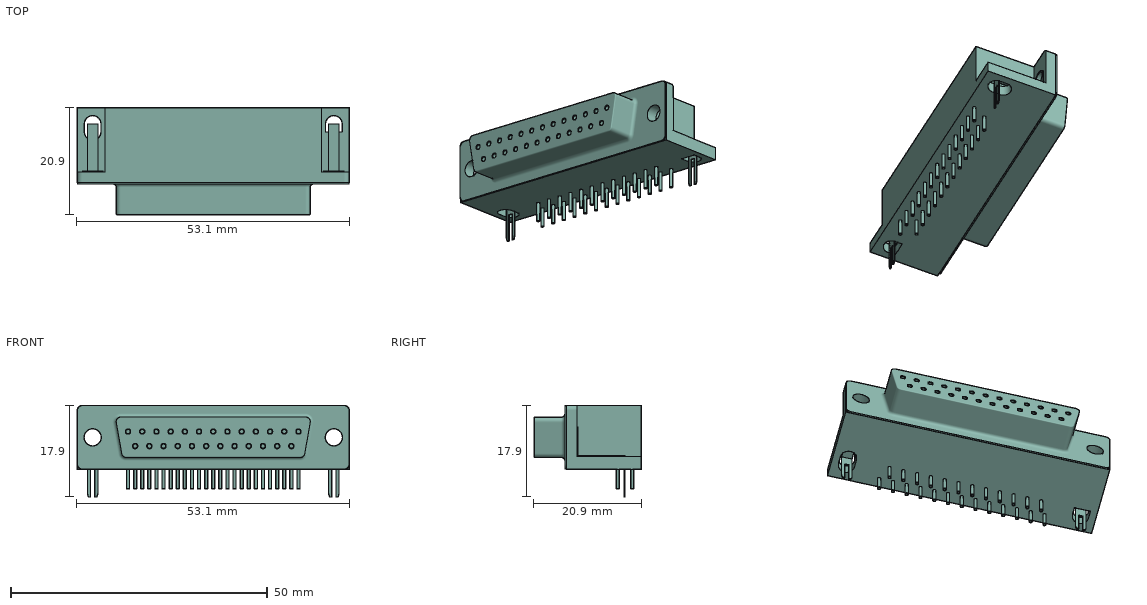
import cadquery as cq
import math


LENGTH = 53.1
HEIGHT = 12.5
TOTAL_HEIGHT = 17.9
TOTAL_DEPTH = 20.94
SHELL_PROJECTION = 6.0
PLATE_THICKNESS = 0.3
WALL_THICKNESS = 2.1
BODY_LENGTH = 42.2
BASE_HEIGHT = 2.55
CORNER_RADIUS = 1.0

BACK_Y = TOTAL_DEPTH - SHELL_PROJECTION
WALL_BACK_Y = PLATE_THICKNESS + WALL_THICKNESS

PLATE_INSET = 0.05
MOUNT_SPACING = 47.04
MOUNT_DIAMETER = 3.3
MOUNT_Z = HEIGHT / 2

SHELL_WIDTH = 38.2
SHELL_HEIGHT = 7.9
SHELL_CENTRE_Z = MOUNT_Z
SHELL_SIDE_ANGLE = 10
SHELL_CORNER_RADIUS = 0.9
SHELL_FOOT_RADIUS = 0.65
SHELL_RIM_RADIUS = 0.2

TOP_ROW_COUNT = 13
BOTTOM_ROW_COUNT = 12
CONTACT_PITCH = 2.77
ROW_SPACING = 2.84
TOP_ROW_Z = 7.38
SOCKET_DIAMETER = 0.85
SOCKET_DEPTH = 5.0
SOCKET_CHAMFER = 0.1
PIN_DIAMETER = 0.64
PIN_LENGTH = 3.85
PIN_TIP_CHAMFER = 0.1
PIN_ROOT = 1.0
BACK_ROW_INSET = 1.78

SLOT_WIDTH = 3.2
SLOT_ARC_INSET = 3.2
SLOT_STRAIGHT = 1.55

BRACKET_THICKNESS = 0.2
BRACKET_PLATE_WIDTH = 4.0
STRAP_WIDTH = 2.1
STRAP_END_INSET = 3.2
PRONG_GAP = 0.8
PRONG_LENGTH = TOTAL_HEIGHT - HEIGHT
PRONG_TAPER = 0.2
PRONG_TAPER_HEIGHT = 0.7


def block(x_min, x_max, y_min, y_max, z_min, z_max):
    """Axis-aligned box between two corners."""
    size = (x_max - x_min, y_max - y_min, z_max - z_min)
    return cq.Workplane("XY").box(*size, centered=False).translate((x_min, y_min, z_min))


def facing_front(y):
    """Work plane at depth y whose extrusions grow toward -Y."""
    return cq.Workplane("XZ", origin=(0, y, 0))


def make_housing():
    """Body with two low wings behind a full-length front wall."""
    half = LENGTH / 2
    wall = block(-half, half, PLATE_THICKNESS, WALL_BACK_Y, 0, HEIGHT)
    wall = wall.edges("|Y and >Z").fillet(CORNER_RADIUS)
    base = block(-half, half, PLATE_THICKNESS, BACK_Y, 0, BASE_HEIGHT)
    body = block(-BODY_LENGTH / 2, BODY_LENGTH / 2, PLATE_THICKNESS, BACK_Y, 0, HEIGHT)
    return wall.union(base).union(body)


def make_plate_with_shell():
    """Front plate and the D-shaped shell, blended at the foot and rounded at the rim."""
    half = LENGTH / 2 - PLATE_INSET
    plate = block(-half, half, 0, PLATE_THICKNESS, PLATE_INSET, HEIGHT - PLATE_INSET)
    plate = plate.edges("|Y").fillet(CORNER_RADIUS)

    half_top = SHELL_WIDTH / 2
    half_bottom = half_top - SHELL_HEIGHT * math.tan(math.radians(SHELL_SIDE_ANGLE))
    top = SHELL_CENTRE_Z + SHELL_HEIGHT / 2
    bottom = SHELL_CENTRE_Z - SHELL_HEIGHT / 2
    corners = [(-half_top, top), (half_top, top), (half_bottom, bottom), (-half_bottom, bottom)]
    shell = facing_front(0).polyline(corners).close().extrude(SHELL_PROJECTION)
    shell = shell.edges("not(#Y)").fillet(SHELL_CORNER_RADIUS)
    shell = shell.faces("<Y").edges().fillet(SHELL_RIM_RADIUS)

    joined = plate.union(shell)
    near_foot = (2 * SHELL_FOOT_RADIUS, PLATE_THICKNESS / 2, 2 * SHELL_FOOT_RADIUS)
    box_start = cq.Vector(-half_top, 0, bottom) - cq.Vector(*near_foot)
    box_end = cq.Vector(half_top, 0, top) + cq.Vector(*near_foot)
    foot = cq.selectors.BoxSelector(box_start.toTuple(), box_end.toTuple(), boundingbox=True)
    return joined.edges(foot).fillet(SHELL_FOOT_RADIUS)


def row_positions(count):
    """X positions of a contact row centred on the connector."""
    return [(i - (count - 1) / 2) * CONTACT_PITCH for i in range(count)]


def make_sockets():
    """Cutter for the blind contact sockets, with chamfered mouths."""
    rows = [(TOP_ROW_COUNT, TOP_ROW_Z), (BOTTOM_ROW_COUNT, TOP_ROW_Z - ROW_SPACING)]
    points = [(x, z) for count, z in rows for x in row_positions(count)]
    radius = SOCKET_DIAMETER / 2
    bores = facing_front(-SHELL_PROJECTION).pushPoints(points).circle(radius).extrude(-SOCKET_DEPTH)
    mouth = cq.Solid.makeCone(
        radius + SOCKET_CHAMFER, radius, SOCKET_CHAMFER, cq.Vector(0, 0, 0), cq.Vector(0, 1, 0)
    )
    mouths = [mouth.translate(cq.Vector(x, -SHELL_PROJECTION, z)) for x, z in points]
    return bores.union(cq.Workplane("XY").newObject(mouths).combine())


def make_pins():
    """Solder pins below the housing in two staggered rows."""
    back_row_y = BACK_Y - BACK_ROW_INSET
    rows = [(TOP_ROW_COUNT, back_row_y), (BOTTOM_ROW_COUNT, back_row_y - ROW_SPACING)]
    points = [(x, y) for count, y in rows for x in row_positions(count)]
    pins = cq.Workplane("XY", origin=(0, 0, -PIN_LENGTH)).pushPoints(points)
    pins = pins.circle(PIN_DIAMETER / 2).extrude(PIN_LENGTH + PIN_ROOT)
    return pins.faces("<Z").edges().chamfer(PIN_TIP_CHAMFER)


def make_slot(x, round_front):
    """Cutter for a wing slot: round at the back, round or square at the front."""
    back_centre_y = BACK_Y - SLOT_ARC_INSET
    front_centre_y = back_centre_y - SLOT_STRAIGHT
    radius = SLOT_WIDTH / 2
    slot = block(x - radius, x + radius, front_centre_y, back_centre_y, 0, BASE_HEIGHT)
    round_ends = [back_centre_y]
    if round_front:
        round_ends.append(front_centre_y)
    for y in round_ends:
        slot = slot.union(cq.Workplane("XY", origin=(x, y, 0)).circle(radius).extrude(BASE_HEIGHT))
    return slot


def make_bracket(x):
    """Board lock: plate behind the wall, strap along the wing and a forked leg through the slot."""
    plate_back_y = WALL_BACK_Y + BRACKET_THICKNESS
    radius = BRACKET_PLATE_WIDTH / 2
    plate = block(x - radius, x + radius, WALL_BACK_Y, plate_back_y, BASE_HEIGHT, MOUNT_Z)
    plate = plate.union(
        facing_front(plate_back_y).center(x, MOUNT_Z).circle(radius).extrude(BRACKET_THICKNESS)
    )

    half_strap = STRAP_WIDTH / 2
    strap_end_y = BACK_Y - STRAP_END_INSET
    strap_top = BASE_HEIGHT + BRACKET_THICKNESS
    strap = block(x - half_strap, x + half_strap, WALL_BACK_Y, strap_end_y, BASE_HEIGHT, strap_top)

    taper_z = PRONG_TAPER_HEIGHT - PRONG_LENGTH
    half_tip = half_strap - PRONG_TAPER
    outline = [
        (-half_strap, strap_top),
        (half_strap, strap_top),
        (half_strap, taper_z),
        (half_tip, -PRONG_LENGTH),
        (-half_tip, -PRONG_LENGTH),
        (-half_strap, taper_z),
    ]
    leg = facing_front(strap_end_y).center(x, 0).polyline(outline).close().extrude(BRACKET_THICKNESS)
    half_gap = PRONG_GAP / 2
    leg_front_y = strap_end_y - BRACKET_THICKNESS
    gap = block(x - half_gap, x + half_gap, leg_front_y, strap_end_y, -PRONG_LENGTH, 0)
    return plate.union(strap).union(leg.cut(gap))


def make_mount_hole(x):
    """Cutter for a mounting hole through the plate, the wall and the bracket."""
    depth = WALL_BACK_Y + BRACKET_THICKNESS
    return facing_front(depth).center(x, MOUNT_Z).circle(MOUNT_DIAMETER / 2).extrude(depth)


result = make_housing().union(make_plate_with_shell())
result = result.cut(make_sockets())
result = result.union(make_pins())
for side in (-1, 1):
    mount_x = side * MOUNT_SPACING / 2
    result = result.cut(make_slot(mount_x, round_front=side < 0))
    result = result.union(make_bracket(mount_x))
    result = result.cut(make_mount_hole(mount_x))